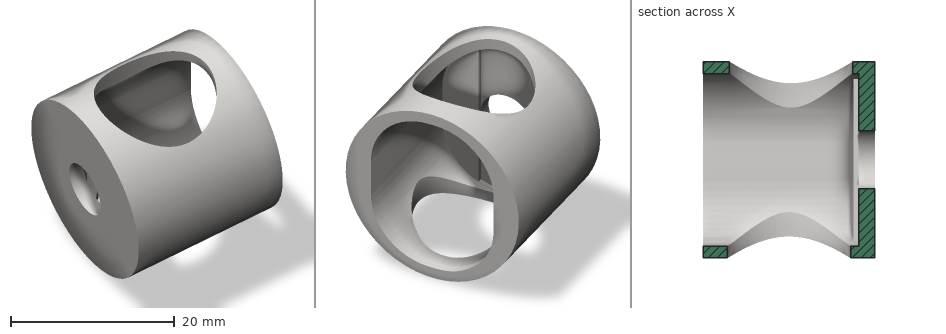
import cadquery as cq

outer_diameter = 24.0
length = 21.0
end_wall = 2.6

cavity_height = 21.0
cavity_width = 17.0
cavity_corner_radius = 8.0

end_hole_diameter = 7.0
end_slot_depth = 0.6
end_slot_span_diameter = cavity_height

side_hole_diameter = 15.0
top_hole_y = -0.25
bottom_hole_y = 0.0

closed_end_y = -length / 2
cavity_floor_y = closed_end_y + end_wall


def plane_at(y):
    """Sketch plane across the axis at y; its local x runs along Z and extrusion runs towards +Y."""
    return cq.Workplane(cq.Plane(origin=(0, y, 0), xDir=(0, 0, 1), normal=(0, 1, 0)))


def make_cavity():
    """Cutter for the main cavity, from the inner face of the end wall to the open end."""
    block = plane_at(cavity_floor_y).rect(cavity_height, cavity_width).extrude(length - end_wall)
    return block.edges("|Y").fillet(cavity_corner_radius)


def make_end_slot():
    """Cutter for the slot in the cavity floor: as wide as the end hole, with arc-shaped ends."""
    sketch_plane = plane_at(cavity_floor_y - end_slot_depth)
    band = sketch_plane.rect(end_slot_span_diameter, end_hole_diameter).extrude(end_slot_depth)
    disc = sketch_plane.circle(end_slot_span_diameter / 2).extrude(end_slot_depth)
    return band.intersect(disc)


def make_side_hole(center_y, direction):
    """Cutter from the part's axis out through the wall; direction is +1 for up, -1 for down."""
    start = cq.Vector(0, center_y, 0)
    axis = cq.Vector(0, 0, direction)
    return cq.Workplane(cq.Solid.makeCylinder(side_hole_diameter / 2, outer_diameter, start, axis))


body = plane_at(closed_end_y).circle(outer_diameter / 2).extrude(length)
end_hole = plane_at(closed_end_y).circle(end_hole_diameter / 2).extrude(end_wall)

result = (
    body.cut(make_cavity())
    .cut(end_hole)
    .cut(make_end_slot())
    .cut(make_side_hole(top_hole_y, 1))
    .cut(make_side_hole(bottom_hole_y, -1))
)